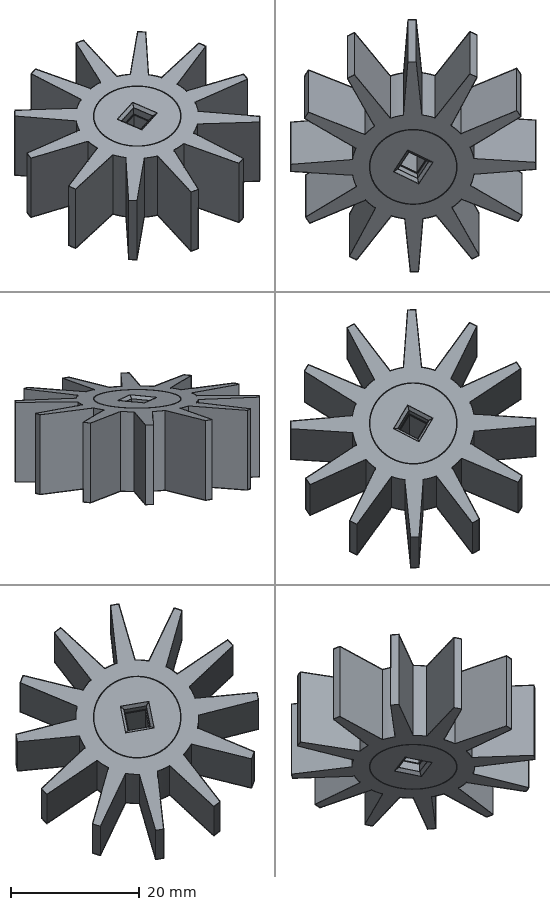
import cadquery as cq
import math

wheel_diameter = 38.1
wheel_height = 12.7
core_radius = 9.52
paddle_count = 12
paddle_tip_width = 1.3
paddle_root_width = 2.85
shaft_square = 3.15

cap_radius = 6.75
cap_thickness = 1.83
cap_clearance = 0.057
cap_square = 3.5
cap_chamfer = 0.5

wheel_radius = wheel_diameter / 2
recess_radius = cap_radius + cap_clearance


def make_paddle(angle):
    """Tapered paddle from the core out to a rounded tip, turned about Z."""
    half_root = paddle_root_width / 2
    half_tip = paddle_tip_width / 2
    root_x = math.sqrt(core_radius**2 - half_root**2)
    tip_x = math.sqrt(wheel_radius**2 - half_tip**2)
    return (
        cq.Workplane("XY")
        .moveTo(0, -half_root)
        .lineTo(root_x, -half_root)
        .lineTo(tip_x, -half_tip)
        .threePointArc((wheel_radius, 0), (tip_x, half_tip))
        .lineTo(root_x, half_root)
        .lineTo(0, half_root)
        .close()
        .extrude(wheel_height)
        .rotate((0, 0, 0), (0, 0, 1), angle)
    )


def make_wheel():
    """Core with evenly spaced paddles, a square shaft hole and a round recess in each face."""
    wheel = cq.Workplane("XY").circle(core_radius).extrude(wheel_height)
    for index in range(paddle_count):
        wheel = wheel.union(make_paddle(index * 360 / paddle_count))
    shaft_hole = cq.Workplane("XY").rect(shaft_square, shaft_square).extrude(wheel_height)
    recess = cq.Workplane("XY").circle(recess_radius).extrude(cap_thickness)
    upper_recess = recess.translate((0, 0, wheel_height - cap_thickness))
    return wheel.cut(shaft_hole).cut(recess).cut(upper_recess)


def make_cap(tilt):
    """Disc flush with the top face, its square hole chamfered at the outer end.

    A tilt of 180 degrees about the middle of the wheel moves it to the bottom face.
    """
    mid_height = wheel_height / 2
    return (
        cq.Workplane("XY")
        .workplane(offset=wheel_height - cap_thickness)
        .circle(cap_radius)
        .rect(cap_square, cap_square)
        .extrude(cap_thickness)
        .faces(">Z")
        .edges("%LINE")
        .chamfer(cap_chamfer)
        .rotate((0, 0, mid_height), (1, 0, mid_height), tilt)
    )


wheel = make_wheel()
caps = [make_cap(tilt) for tilt in (0, 180)]

result = cq.Compound.makeCompound([wheel.val(), *[cap.val() for cap in caps]])